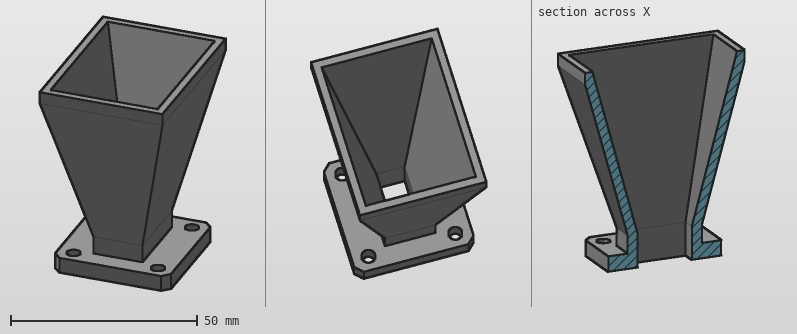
import cadquery as cq

total_height = 57.4
mouth_x = 35.35
mouth_y = 47.05
rim_height = 3.4
rim_wall = 2.3

throat_x = 7.9
throat_y = 15.8
neck_wall = 3.1
neck_x = throat_x + 2 * neck_wall
neck_y = throat_y + 2 * neck_wall
neck_top = 9.5

flange_side = 33.4
flange_thickness = 4.5
flange_chamfer = 2.05
hole_diameter = 3.75
hole_spacing_x = 24.3
hole_spacing_y = 25.25


def block(size_x, size_y, bottom, top):
    """Centred rectangular block between two heights."""
    return cq.Workplane("XY").workplane(offset=bottom).rect(size_x, size_y).extrude(top - bottom)


def taper(bottom_x, bottom_y, top_x, top_y, bottom, top):
    """Rectangular frustum between two heights."""
    return (
        cq.Workplane("XY")
        .workplane(offset=bottom)
        .rect(bottom_x, bottom_y)
        .workplane(offset=top - bottom)
        .rect(top_x, top_y)
        .loft(ruled=True)
    )


def make_flange():
    """Flange plate with cut corners and four through holes."""
    plate = block(flange_side, flange_side, 0, flange_thickness).edges("|Z").chamfer(flange_chamfer)
    return (
        plate.faces(">Z")
        .workplane()
        .rect(hole_spacing_x, hole_spacing_y, forConstruction=True)
        .vertices()
        .hole(hole_diameter)
    )


def make_horn():
    """Outer solid of the neck, flare and rim."""
    rim_bottom = total_height - rim_height
    neck = block(neck_x, neck_y, flange_thickness, neck_top)
    flare = taper(neck_x, neck_y, mouth_x, mouth_y, neck_top, rim_bottom)
    rim = block(mouth_x, mouth_y, rim_bottom, total_height)
    return neck.union(flare).union(rim)


def make_cavity():
    """Straight throat opening into a flare that reaches the rim face."""
    opening_x = mouth_x - 2 * rim_wall
    opening_y = mouth_y - 2 * rim_wall
    throat = block(throat_x, throat_y, 0, neck_top)
    flare = taper(throat_x, throat_y, opening_x, opening_y, neck_top, total_height)
    return throat.union(flare)


result = make_flange().union(make_horn()).cut(make_cavity())